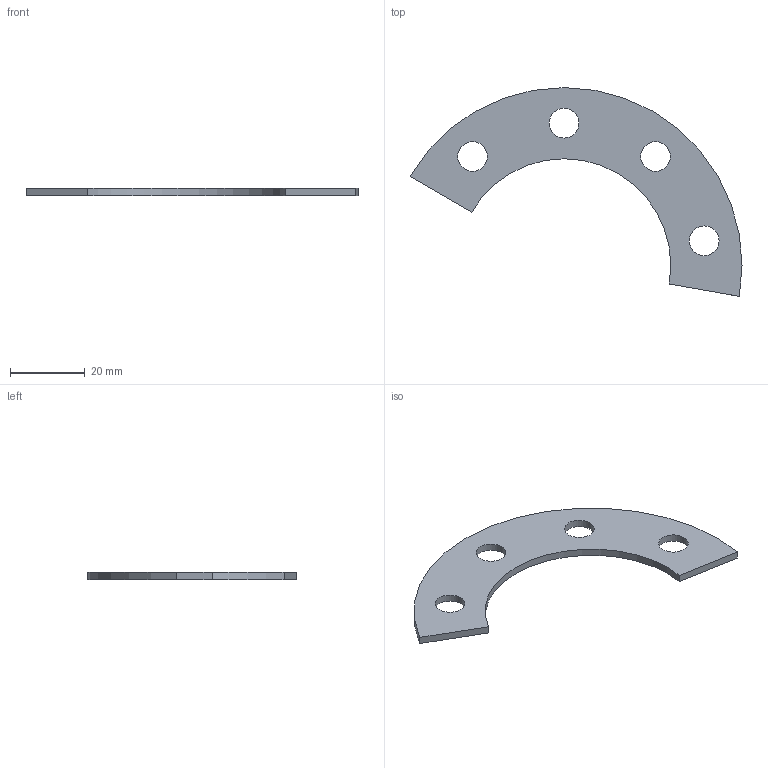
import cadquery as cq
import math

outer_radius = 47.625
inner_radius = 28.575
thickness = 2.0

start_angle = -10.0
hole_count = 4
hole_pitch_angle = 40.0
sweep_angle = hole_count * hole_pitch_angle
end_angle = start_angle + sweep_angle
middle_angle = start_angle + sweep_angle / 2

hole_diameter = 7.94
hole_circle_radius = (outer_radius + inner_radius) / 2


def polar_point(radius, angle):
    """XY point at a radius and an angle in degrees."""
    return (
        radius * math.cos(math.radians(angle)),
        radius * math.sin(math.radians(angle)),
    )


def make_ring_segment():
    """Plate bounded by two concentric arcs and two radial ends."""
    return (
        cq.Workplane("XY")
        .moveTo(*polar_point(outer_radius, start_angle))
        .threePointArc(
            polar_point(outer_radius, middle_angle),
            polar_point(outer_radius, end_angle),
        )
        .lineTo(*polar_point(inner_radius, end_angle))
        .threePointArc(
            polar_point(inner_radius, middle_angle),
            polar_point(inner_radius, start_angle),
        )
        .close()
        .extrude(thickness)
    )


def make_holes():
    """Through holes on the mid-width circle, half a pitch in from each end."""
    first_hole_angle = start_angle + hole_pitch_angle / 2
    hole_centers = [
        polar_point(hole_circle_radius, first_hole_angle + index * hole_pitch_angle)
        for index in range(hole_count)
    ]
    return (
        cq.Workplane("XY")
        .pushPoints(hole_centers)
        .circle(hole_diameter / 2)
        .extrude(thickness)
    )


result = make_ring_segment().cut(make_holes())